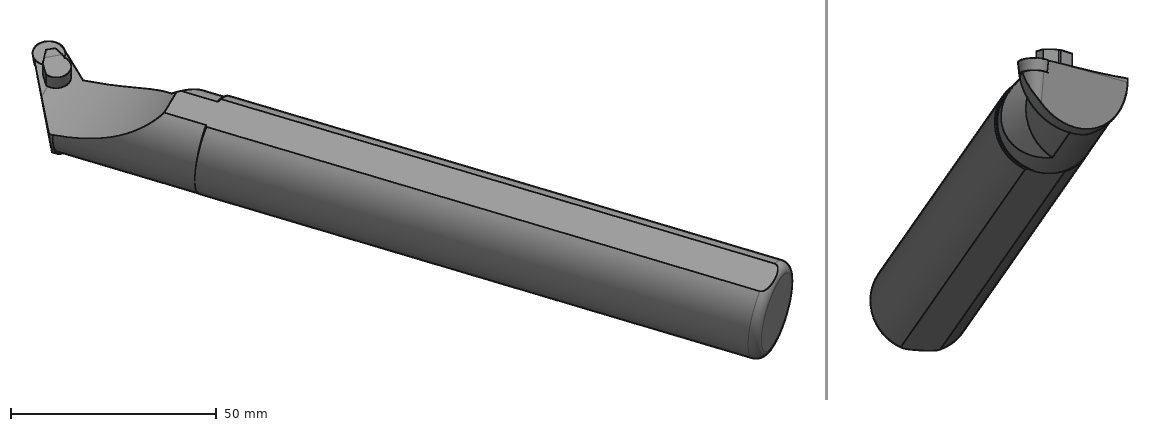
import cadquery as cq
import math

total_length = 200.0
shank_radius = 12.5
flat_height = 11.5
shank_end_fillet = 2.5
neck_radius = 12.2
neck_axis_y = neck_radius - shank_radius
shank_start = 52.5
step_length = 0.5

insert_radius = 4.0
insert_thickness = 3.0
insert_x = insert_radius
insert_y = 13.0
clearance_angle = 7.0

head_radius = 14.5
head_axis_y = head_radius - shank_radius
front_face_angle = 60.0
tip_setback = 0.2
tip_radius = insert_radius - tip_setback

relief_y = 7.4
relief_radius = 14.5
relief_axis_y = relief_y - relief_radius
head_shoulder_angle = 45.0
shank_shoulder_angle = 30.0
relief_end = 40.0

gullet_radius = 56.0
gullet_start = 7.7
gullet_roll = 1.5
gullet_pivot_y = insert_y - insert_radius

clamp_radius = 3.6
clamp_height = 4.1
clamp_distance = 8.3
clamp_angle = 55.5
finger_reach = 6.3
finger_end_width = 2.4
finger_end_height = 3.7
clamp_flat = 3.0

clear = 40.0

front_run = math.cos(math.radians(front_face_angle))
front_rise = math.sin(math.radians(front_face_angle))
shoulder_offset = insert_radius / math.sqrt(2)
relief_start = insert_x + shoulder_offset + (insert_y + shoulder_offset - relief_y)
clamp_x = insert_x + clamp_distance * math.cos(math.radians(clamp_angle))
clamp_y = insert_y - clamp_distance * math.sin(math.radians(clamp_angle))


def bar_along_x(radius, start, end, axis_y=0.0):
    plane = cq.Workplane("YZ", origin=(start, axis_y, 0))
    return plane.circle(radius).extrude(end - start)


def make_insert():
    bottom_radius = insert_radius - insert_thickness * math.tan(math.radians(clearance_angle))
    profile = (
        cq.Workplane("XZ")
        .polyline([(0, 0), (insert_radius, 0), (bottom_radius, -insert_thickness), (0, -insert_thickness)])
        .close()
    )
    return profile.revolve(360, (0, 0, 0), (0, 1, 0)).translate((insert_x, insert_y, 0))


def make_bar():
    shank = bar_along_x(shank_radius, shank_start - step_length, total_length)
    shank = shank.faces(">X").edges().fillet(shank_end_fillet)
    shank = shank.faces("<X").edges().chamfer(step_length, shank_radius - neck_radius)
    lower_flat = cq.Workplane("XY").box(
        total_length, clear, clear, centered=(False, True, False)
    ).translate((shank_start - step_length, 0, -flat_height - clear))
    neck = bar_along_x(neck_radius, 0, shank_start, neck_axis_y)
    head = bar_along_x(head_radius, 0, relief_start, head_axis_y)
    upper_flat = cq.Workplane("XY").box(
        2 * total_length, 2 * clear, clear, centered=(True, True, False)
    ).translate((0, 0, flat_height))
    return shank.cut(lower_flat).union(neck).union(head).cut(upper_flat)


def make_relief():
    """Ring around the eccentric axis, with a conical shoulder at each end."""
    depth = 2 * shank_radius
    head_spread = depth / math.tan(math.radians(head_shoulder_angle))
    shank_spread = depth / math.tan(math.radians(shank_shoulder_angle))
    outer_y = relief_y + depth
    profile = (
        cq.Workplane("XY")
        .moveTo(relief_start, relief_y)
        .lineTo(relief_end, relief_y)
        .lineTo(relief_end + shank_spread, outer_y)
        .lineTo(relief_start - head_spread, outer_y)
        .close()
    )
    return profile.revolve(360, (0, relief_axis_y, 0), (1, relief_axis_y, 0))


def tip_outline():
    """Plan of the material kept: oblique front face, then the round tip."""
    tangent_x = insert_x - tip_radius * front_rise
    tangent_y = insert_y - tip_radius * front_run
    drop = tangent_y + clear
    return (
        cq.Workplane("XY")
        .moveTo(tangent_x + drop * front_run / front_rise, -clear)
        .lineTo(tangent_x, tangent_y)
        .threePointArc((insert_x - tip_radius, insert_y), (insert_x, insert_y + tip_radius))
        .lineTo(total_length + clear, insert_y + tip_radius)
        .lineTo(total_length + clear, -clear)
        .close()
    )


def make_tip_envelope():
    lower = tip_outline().extrude(-clear / 2, taper=clearance_angle)
    upper = tip_outline().extrude(clear / 2)
    return lower.union(upper)


def make_gullet():
    arc_angle = math.acos(1 - flat_height / gullet_radius)
    end_x = gullet_start + gullet_radius * math.sin(arc_angle)
    mid_x = gullet_start + gullet_radius * math.sin(arc_angle / 2)
    mid_z = gullet_radius * (1 - math.cos(arc_angle / 2))
    return (
        cq.Workplane("XZ")
        .moveTo(-clear, 0)
        .lineTo(gullet_start, 0)
        .threePointArc((mid_x, mid_z), (end_x, flat_height))
        .lineTo(end_x, clear)
        .lineTo(-clear, clear)
        .close()
        .extrude(clear, both=True)
        .rotate((0, gullet_pivot_y, 0), (1, gullet_pivot_y, 0), -gullet_roll)
    )


def make_clamp():
    """Clamp built along +X from its own centre, then turned towards the insert."""
    head = cq.Workplane("XY").circle(clamp_radius).extrude(clamp_height)
    finger = (
        cq.Workplane("XY")
        .polyline([
            (0, -clamp_radius), (finger_reach, -finger_end_width / 2),
            (finger_reach, finger_end_width / 2), (0, clamp_radius),
        ])
        .close()
        .extrude(clamp_height)
    )
    slope = (
        cq.Workplane("XZ")
        .polyline([
            (0, 0), (0, clamp_height), (clamp_radius, clamp_height),
            (finger_reach, finger_end_height), (finger_reach, 0),
        ])
        .close()
        .extrude(clear, both=True)
    )
    beside_flat = cq.Workplane("XY").box(
        clear, clear, clear, centered=(True, False, True)
    ).translate((0, clamp_flat, 0))
    clamp = head.union(finger.intersect(slope)).cut(beside_flat)
    return clamp.rotate((0, 0, 0), (0, 0, 1), 180 - clamp_angle).translate((clamp_x, clamp_y, 0))


insert = make_insert()
holder = make_bar().cut(make_relief())
holder = holder.intersect(make_tip_envelope())
holder = holder.cut(make_gullet()).cut(insert).union(make_clamp())

result = cq.Compound.makeCompound([holder.solids().val(), insert.val()])